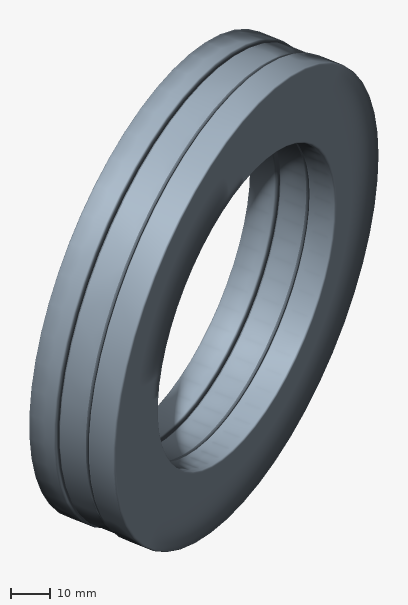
import cadquery as cq

TOTAL_WIDTH = 25.5
ROLLING_GAP = 9.5

WASHER_OUTER_DIAMETER = 132.5
WASHER_BORE = 89.0
WASHER_WIDTH = (TOTAL_WIDTH - ROLLING_GAP) / 2
WASHER_EDGE = 0.5

CAGE_OUTER_DIAMETER = 131.5
CAGE_BORE = 89.9
SIDE_CLEARANCE = 0.5
CAGE_WIDTH = ROLLING_GAP - 2 * SIDE_CLEARANCE
CAGE_EDGE = 0.5


def make_ring(outer_diameter, bore, width, start_x):
    """Plain ring around the X axis, growing toward +X from start_x."""
    return (
        cq.Workplane("YZ", origin=(start_x, 0, 0))
        .circle(outer_diameter / 2)
        .circle(bore / 2)
        .extrude(width)
    )


def make_washer(start_x):
    """Flat washer with all four circular edges rounded."""
    blank = make_ring(WASHER_OUTER_DIAMETER, WASHER_BORE, WASHER_WIDTH, start_x)
    return blank.edges("%CIRCLE").fillet(WASHER_EDGE)


def make_cage():
    """Chamfered cage ring, centred on the bearing's mid plane."""
    blank = make_ring(CAGE_OUTER_DIAMETER, CAGE_BORE, CAGE_WIDTH, -CAGE_WIDTH / 2)
    return blank.edges("%CIRCLE").chamfer(CAGE_EDGE)


washers = [make_washer(start_x) for start_x in (-TOTAL_WIDTH / 2, ROLLING_GAP / 2)]
cage = make_cage()

result = cq.Compound.makeCompound([*[washer.val() for washer in washers], cage.val()])